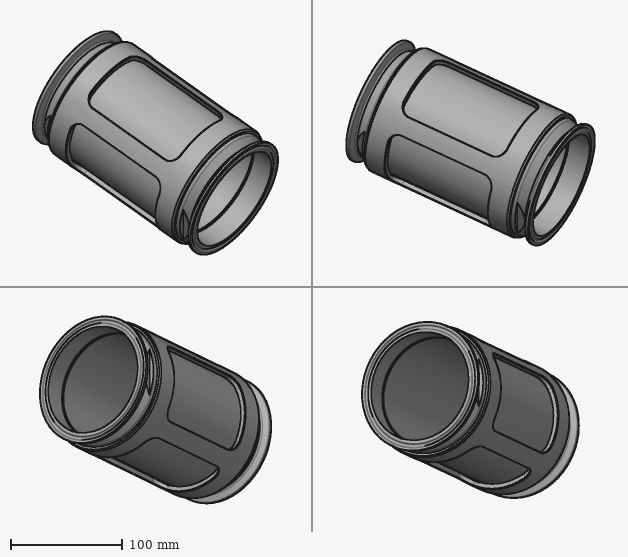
import cadquery as cq
import math

length = 190.0
middle = length / 2
bore_radius = 50.0

flange_radius = 59.5
flange_rim_width = 3.0
flange_rim_round = 0.8
flange_slope_angle = 20.0
neck_radius = 52.0
neck_fillet = 1.9
cone_angle = 30.0
shoulder_radius = 57.8
shoulder_round = 6.0
shoulder_end = 19.0
spigot_end = 21.7

groove_radius = 55.0
groove_section_radius = 1.5
groove_edge_round = 0.5

flat_end = 15.2

gasket_thickness = 1.5
gasket_bore_radius = 50.7

glass_radius = 55.1

housing_radius = 61.0
housing_bore_radius = 56.0
housing_chamfer_length = 2.0
housing_chamfer_depth = 1.0
window_count = 4
window_length = 106.8
window_width = 71.5
window_corner_radius = 9.9
window_chamfer = 0.8


def make_tube(start, end, inner_radius, outer_radius):
    """Plain tube along X between two stations."""
    return (
        cq.Workplane("YZ", origin=(start, 0, 0))
        .circle(outer_radius)
        .circle(inner_radius)
        .extrude(end - start)
    )


def corner_arc(before, corner, after, radius):
    """Start, middle and end of an arc that rounds a corner between two straight lines."""
    corner = cq.Vector(*corner)
    toward_before = (cq.Vector(*before) - corner).normalized()
    toward_after = (cq.Vector(*after) - corner).normalized()
    half_angle = toward_before.getAngle(toward_after) / 2
    tangent_length = radius / math.tan(half_angle)
    middle_distance = radius / math.sin(half_angle) - radius
    start = corner + toward_before * tangent_length
    halfway = corner + (toward_before + toward_after).normalized() * middle_distance
    end = corner + toward_after * tangent_length
    return [(point.x, point.y) for point in (start, halfway, end)]


def groove_edge_arc(side):
    """Round between the flange face and the groove: its face end, middle and groove end.

    The side is -1 for the inner edge of the groove and 1 for the outer edge.
    """
    center_distance = groove_section_radius + groove_edge_round
    lean = math.asin(groove_edge_round / center_distance)
    center_radius = groove_radius + side * center_distance * math.cos(lean)
    groove_end = (
        groove_section_radius * math.sin(lean),
        groove_radius + side * groove_section_radius * math.cos(lean),
    )
    middle_lean = math.pi / 4 - lean / 2
    arc_middle = (
        groove_edge_round * (1 - math.sin(middle_lean)),
        center_radius - side * groove_edge_round * math.cos(middle_lean),
    )
    return (0, center_radius), arc_middle, groove_end


def make_ferrule():
    """Ferrule at the X = 0 end, turned about X, with groove and wrench flats."""
    slope_drop = flange_radius - neck_radius
    slope_end = flange_rim_width + slope_drop * math.tan(math.radians(flange_slope_angle))
    cone = math.radians(cone_angle)
    cone_end = shoulder_end - shoulder_round * math.tan(cone / 2)
    cone_start = cone_end - (shoulder_radius - neck_radius) / math.tan(cone)

    rim_corner = (flange_rim_width, flange_radius)
    slope_foot = (slope_end, neck_radius)
    cone_foot = (cone_start, neck_radius)
    cone_top = (cone_end, shoulder_radius)
    shoulder_corner = (shoulder_end, shoulder_radius)
    rim_arc = corner_arc((0, flange_radius), rim_corner, slope_foot, flange_rim_round)
    neck_arc = corner_arc(rim_corner, slope_foot, cone_foot, neck_fillet)
    shoulder_arc = corner_arc(cone_foot, cone_top, shoulder_corner, shoulder_round)

    inner_face_end, inner_middle, inner_groove_end = groove_edge_arc(-1)
    outer_face_end, outer_middle, outer_groove_end = groove_edge_arc(1)
    groove_bottom = (groove_section_radius, groove_radius)

    ferrule = (
        cq.Workplane("XY")
        .moveTo(0, bore_radius)
        .lineTo(*inner_face_end)
        .threePointArc(inner_middle, inner_groove_end)
        .threePointArc(groove_bottom, outer_groove_end)
        .threePointArc(outer_middle, outer_face_end)
        .lineTo(0, flange_radius)
        .lineTo(*rim_arc[0])
        .threePointArc(*rim_arc[1:])
        .lineTo(*neck_arc[0])
        .threePointArc(*neck_arc[1:])
        .lineTo(*cone_foot)
        .lineTo(*shoulder_arc[0])
        .threePointArc(*shoulder_arc[1:])
        .lineTo(shoulder_end, housing_bore_radius)
        .lineTo(spigot_end, housing_bore_radius)
        .lineTo(spigot_end, bore_radius)
        .close()
        .revolve(360, (0, 0, 0), (1, 0, 0))
    )

    flat_length = flat_end - cone_start
    flat_depth = shoulder_radius - neck_radius
    for side in (-1, 1):
        flat_cutter = cq.Workplane("XY").box(flat_length, flat_depth, 2 * shoulder_radius)
        flat_center = (cone_start + flat_length / 2, side * (neck_radius + flat_depth / 2), 0)
        ferrule = ferrule.cut(flat_cutter.translate(flat_center))
    return ferrule


def make_housing():
    """Sleeve around the glass, chamfered at both ends, with windows on the Y and Z sides."""
    housing = (
        cq.Workplane("XY")
        .moveTo(shoulder_end, housing_bore_radius)
        .lineTo(shoulder_end, housing_radius - housing_chamfer_depth)
        .lineTo(shoulder_end + housing_chamfer_length, housing_radius)
        .lineTo(length - shoulder_end - housing_chamfer_length, housing_radius)
        .lineTo(length - shoulder_end, housing_radius - housing_chamfer_depth)
        .lineTo(length - shoulder_end, housing_bore_radius)
        .close()
        .revolve(360, (0, 0, 0), (1, 0, 0))
    )
    window = (
        cq.Workplane("XY", origin=(middle, 0, 0))
        .rect(window_length, window_width)
        .extrude(housing_radius)
        .edges("|Z")
        .fillet(window_corner_radius)
    )
    for index in range(window_count):
        housing = housing.cut(window.rotate((0, 0, 0), (1, 0, 0), index * 360 / window_count))
    outer_surface = housing.faces(cq.selectors.AreaNthSelector(-1))
    rim_reach = window_length / 2 + window_chamfer
    window_zone = cq.selectors.BoxSelector(
        (middle - rim_reach, -housing_radius, -housing_radius),
        (middle + rim_reach, housing_radius, housing_radius),
    )
    return outer_surface.edges(window_zone).chamfer(window_chamfer)


glass_start = spigot_end + gasket_thickness
first_ferrule = make_ferrule()
second_ferrule = first_ferrule.mirror("YZ", (middle, 0, 0))
first_gasket = make_tube(spigot_end, glass_start, gasket_bore_radius, housing_bore_radius)
second_gasket = first_gasket.mirror("YZ", (middle, 0, 0))
glass = make_tube(glass_start, length - glass_start, bore_radius, glass_radius)
housing = make_housing()

result = cq.Compound.makeCompound(
    [
        housing.val(),
        glass.val(),
        first_ferrule.val(),
        second_ferrule.val(),
        first_gasket.val(),
        second_gasket.val(),
    ]
)